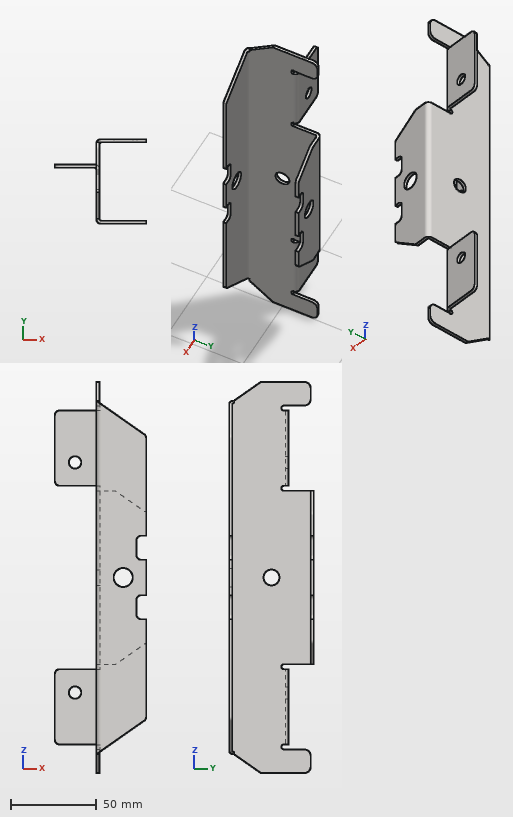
import cadquery as cq
import math

length = 230.0
width = 50.0
flange_depth = 29.5
tab_reach = 24.4

thickness = 2.0
inner_radius = 1.0
outer_radius = inner_radius + thickness

hook_height = 14.0
hook_inset = 1.8
hook_radius = 4.0

slope = 0.7
slope_start_y = -6.2
flange_corner_radius = 3.0

back_flange_height = 102.1
back_slope_start_x = 11.0
back_slope_radius = 2.3

tab_back_offset = 15.0
tab_height = 44.5
tab_corner_radius = 3.0
tab_hole_diameter = 7.1
tab_hole_x = -12.5
tab_hole_z = 67.6
relief_run = 1.2

notch_depth = 5.8
notch_height = 14.0
notch_center_z = 17.5
notch_radius = 2.8
flange_hole_diameter = 11.0
flange_hole_x = 15.9
web_hole_diameter = 9.2

top_z = length / 2
front_y = -width / 2
back_y = width / 2
hook_bottom_z = top_z - hook_height
back_flange_top_z = back_flange_height / 2
tab_back_y = back_y - tab_back_offset
tab_front_y = tab_back_y - thickness
tab_bend_end_y = tab_back_y - outer_radius
relief_end_y = tab_bend_end_y - relief_run
opening_height = hook_bottom_z - back_flange_top_z
opening_center_z = (hook_bottom_z + back_flange_top_z) / 2
relief_height = (opening_height - tab_height) / 2
front_bend_y = front_y + outer_radius
front_bend_z = top_z - slope * (slope_start_y - front_bend_y)
flange_edge_z = front_bend_z - slope * flange_depth
back_edge_z = back_flange_top_z - slope * (flange_depth - back_slope_start_x)


def block(x_range, y_range, z_range):
    """Solid block spanning the given (low, high) ranges."""
    x_size, y_size, z_size = [high - low for low, high in (x_range, y_range, z_range)]
    corner = (x_range[0], y_range[0], z_range[0])
    return cq.Workplane("XY").box(x_size, y_size, z_size, centered=False).translate(corner)


def mirrored_pair(solid):
    """The upper feature together with its mirror image at the lower end."""
    return solid.union(solid.mirror("XY"))


def channel():
    """Full-length bent channel: web with a flange on the front and back sides."""
    outer = block((0, flange_depth), (front_y, back_y), (-top_z, top_z))
    outer = outer.edges("|Z and <X").fillet(outer_radius)
    inner = block(
        (thickness, flange_depth),
        (front_y + thickness, back_y - thickness),
        (-top_z, top_z),
    )
    return outer.cut(inner.edges("|Z and <X").fillet(inner_radius))


def web_outline():
    """Prism in the web's outline, from the front bend to the back side."""
    upper = (
        cq.Workplane("YZ")
        .moveTo(front_y, 0)
        .lineTo(front_y, front_bend_z)
        .lineTo(front_bend_y, front_bend_z)
        .lineTo(slope_start_y, top_z)
        .lineTo(back_y, top_z)
        .lineTo(back_y, 0)
        .close()
        .extrude(flange_depth)
    )
    return mirrored_pair(upper)


def flange_outline(y_low, y_high, edge_points):
    """Prism in a flange's outline, its upper edge given from the web outward."""
    profile = cq.Workplane("XZ", origin=(0, y_high, 0)).moveTo(0, 0)
    for point in edge_points:
        profile = profile.lineTo(*point)
    upper = profile.lineTo(flange_depth, 0).close().extrude(y_high - y_low)
    edge_end_z = edge_points[-1][1]
    corner = (flange_depth, (y_low + y_high) / 2, edge_end_z)
    upper = upper.edges(cq.selectors.NearestToPointSelector(corner)).fillet(flange_corner_radius)
    return mirrored_pair(upper)


def front_flange_outline():
    """Front flange, including its bend, with both ends sloped from the web."""
    edge = [(0, front_bend_z), (flange_depth, flange_edge_z)]
    return flange_outline(front_y, front_bend_y, edge)


def back_flange_outline():
    """Back flange, including its bend, level at first and then sloped."""
    edge = [
        (0, back_flange_top_z),
        (back_slope_start_x, back_flange_top_z),
        (flange_depth, back_edge_z),
    ]
    outline = flange_outline(back_y - outer_radius, back_y, edge)
    for z in (back_flange_top_z, -back_flange_top_z):
        knee = (back_slope_start_x, back_y - outer_radius / 2, z)
        outline = outline.edges(cq.selectors.NearestToPointSelector(knee)).fillet(back_slope_radius)
    return outline


def hook():
    """Flat upper hook at the back of the web, above the tab opening."""
    hook_back_y = back_y - hook_inset
    plate = block((0, thickness), (slope_start_y, hook_back_y), (hook_bottom_z, top_z))
    return plate.edges("|X and >Y").fillet(hook_radius)


def tab_opening():
    """Upper opening the tab is bent out of, ending in a rounded relief at each side."""
    relief_radius = relief_height / 2
    opening = block(
        (0, thickness),
        (tab_bend_end_y, back_y),
        (back_flange_top_z, hook_bottom_z),
    )
    for side in (-1, 1):
        z = opening_center_z + side * (opening_height - relief_height) / 2
        straight_end_y = relief_end_y + relief_radius
        relief = (
            cq.Workplane("YZ")
            .center(straight_end_y, z)
            .circle(relief_radius)
            .extrude(thickness)
        )
        neck = block(
            (0, thickness),
            (straight_end_y, back_y),
            (z - relief_radius, z + relief_radius),
        )
        opening = opening.union(relief).union(neck)
    return opening


def tab():
    """Upper mounting tab with its bend into the web, corners rounded and hole drilled."""
    bend_center_x = thickness - outer_radius
    half_turn = math.sqrt(0.5)
    outer_middle = (
        bend_center_x + outer_radius * half_turn,
        tab_bend_end_y + outer_radius * half_turn,
    )
    inner_middle = (
        bend_center_x + inner_radius * half_turn,
        tab_bend_end_y + inner_radius * half_turn,
    )
    plate = (
        cq.Workplane("XY", origin=(0, 0, opening_center_z - tab_height / 2))
        .moveTo(thickness, tab_bend_end_y)
        .threePointArc(outer_middle, (bend_center_x, tab_back_y))
        .lineTo(-tab_reach, tab_back_y)
        .lineTo(-tab_reach, tab_front_y)
        .lineTo(bend_center_x, tab_front_y)
        .threePointArc(inner_middle, (0, tab_bend_end_y))
        .close()
        .extrude(tab_height)
    )
    plate = plate.edges("|Y and <X").fillet(tab_corner_radius)
    hole = (
        cq.Workplane("XZ", origin=(tab_hole_x, tab_back_y, tab_hole_z))
        .circle(tab_hole_diameter / 2)
        .extrude(thickness)
    )
    return plate.cut(hole)


def notch():
    """Upper notch through the free edges of both flanges."""
    cutter = block(
        (flange_depth - notch_depth, flange_depth),
        (front_y, back_y),
        (notch_center_z - notch_height / 2, notch_center_z + notch_height / 2),
    )
    return cutter.edges("|Y and <X").fillet(notch_radius)


def flange_hole():
    """Hole through both flanges."""
    profile = cq.Workplane("XZ", origin=(flange_hole_x, back_y, 0)).circle(flange_hole_diameter / 2)
    return profile.extrude(width)


def web_hole():
    """Hole through the centre of the web."""
    return cq.Workplane("YZ").circle(web_hole_diameter / 2).extrude(thickness)


bent = channel()
front = bent.intersect(front_flange_outline())
back = bent.intersect(back_flange_outline())
web_region = block(
    (0, flange_depth),
    (front_bend_y, back_y - outer_radius),
    (-top_z, top_z),
)
hook_end = block((0, thickness), (slope_start_y, back_y), (hook_bottom_z, top_z))
web = bent.intersect(web_region).intersect(web_outline())
web = web.cut(mirrored_pair(hook_end)).union(mirrored_pair(hook()))

result = front.union(web).union(back)
result = result.cut(mirrored_pair(tab_opening()))
result = result.union(mirrored_pair(tab()))
result = result.cut(mirrored_pair(notch())).cut(flange_hole()).cut(web_hole())